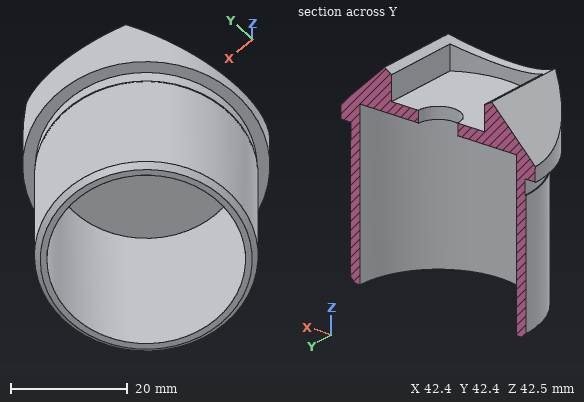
import cadquery as cq
import math

head_diameter = 42.4
head_radius = head_diameter / 2
body_radius = 19.17
neck_radius = 19.0
total_height = 42.5
neck_bottom = 27.0
head_bottom = 30.0
bottom_chamfer = 1.0

saddle_radius = head_radius
crest_half_width = 11.7
saddle_axis_height = total_height + math.sqrt(saddle_radius**2 - crest_half_width**2)

pocket_half_width = 10.07
pocket_radius = neck_radius
pocket_floor = 36.47
hole_radius = 4.25

cavity_radius = 17.0
cavity_top = 34.0


def cylinder(radius, bottom, top):
    return cq.Workplane("XY").workplane(offset=bottom).circle(radius).extrude(top - bottom)


def make_plug():
    body = cylinder(body_radius, 0, neck_bottom).faces("<Z").chamfer(bottom_chamfer)
    neck = cylinder(neck_radius, neck_bottom, head_bottom)
    head = cylinder(head_radius, head_bottom, total_height)
    return body.union(neck).union(head)


def saddle_envelope():
    """Prism along Y holding the part below the saddle and its sloping flanks."""
    side = head_diameter
    flank_foot = total_height - (side - crest_half_width)
    saddle_low_point = saddle_axis_height - saddle_radius
    return (
        cq.Workplane("XZ")
        .moveTo(-side, 0)
        .lineTo(side, 0)
        .lineTo(side, flank_foot)
        .lineTo(crest_half_width, total_height)
        .threePointArc((0, saddle_low_point), (-crest_half_width, total_height))
        .lineTo(-side, flank_foot)
        .close()
        .extrude(side, both=True)
    )


def make_pocket():
    """Round recess with two flat sides parallel to Y."""
    height = total_height - pocket_floor
    slab = (
        cq.Workplane("XY")
        .workplane(offset=pocket_floor)
        .rect(2 * pocket_half_width, head_diameter)
        .extrude(height)
    )
    return cylinder(pocket_radius, pocket_floor, total_height).intersect(slab)


cavity = cylinder(cavity_radius, 0, cavity_top)
through_hole = cylinder(hole_radius, 0, total_height)
result = make_plug().intersect(saddle_envelope()).cut(make_pocket()).cut(cavity).cut(through_hole)